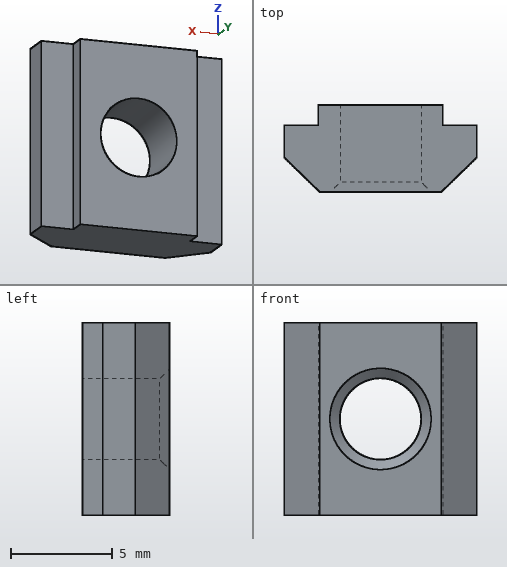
import cadquery as cq

width = 9.5
length = 9.5
thickness = 4.3

tongue_width = 6.15
tongue_height = 1.0
front_flat_width = 6.0
bevel_depth = 1.7

hole_diameter = 4.0
countersink_diameter = 5.0
countersink_depth = (countersink_diameter - hole_diameter) / 2

front_y = 0.0
bevel_end_y = front_y + bevel_depth
back_y = front_y + thickness
shoulder_y = back_y - tongue_height


def make_body():
    """Slot-nut bar: bevelled front, full-width shoulders, tongue at the back."""
    right_half = [
        (front_flat_width / 2, front_y),
        (width / 2, bevel_end_y),
        (width / 2, shoulder_y),
        (tongue_width / 2, shoulder_y),
        (tongue_width / 2, back_y),
    ]
    left_half = [(-x, y) for x, y in reversed(right_half)]
    outline = cq.Workplane("XY").polyline(right_half + left_half).close()
    return outline.extrude(length / 2, both=True)


def make_hole():
    """Through hole along Y with a conical countersink on the front face."""
    hole_radius = hole_diameter / 2
    profile = [
        (0, front_y),
        (countersink_diameter / 2, front_y),
        (hole_radius, front_y + countersink_depth),
        (hole_radius, back_y),
        (0, back_y),
    ]
    return cq.Workplane("XY").polyline(profile).close().revolve(360, (0, 0), (0, 1))


result = make_body().cut(make_hole())